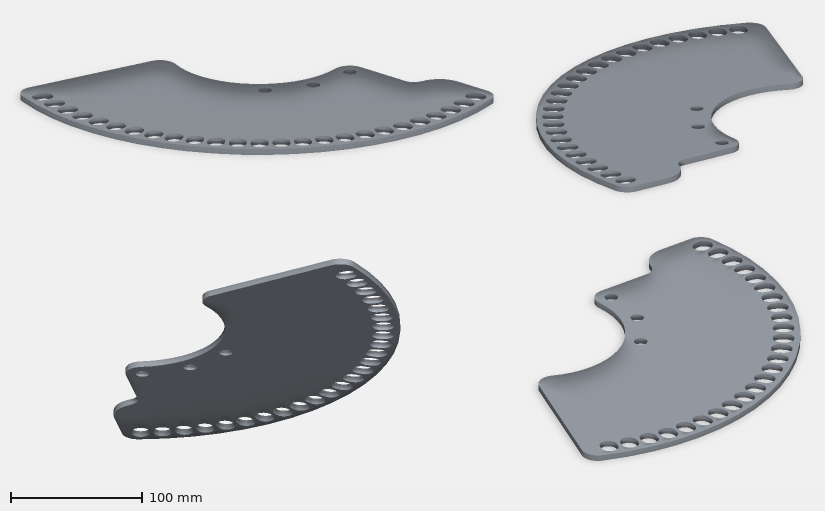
import cadquery as cq
import math

thickness = 4.7
outer_radius = 203.2
inner_radius = 69.7
left_overhang = 21.5
top_height = 109.5

edge_slope = 20.0
step_x = 117.5
corner_radius = 12.8
step_inside_radius = 10.3
step_outside_radius = 22.0

hole_diameter = 10.3
hole_circle_radius = inner_radius + corner_radius
hole_spacing_angle = 26.9

slot_count = 25
slot_pitch_angle = 5.0
first_slot_angle = -90.0
slot_length = 16.5
slot_width = 13.5
slot_circle_radius = outer_radius - corner_radius


def polar(radius, degrees):
    angle = math.radians(degrees)
    return (radius * math.cos(angle), radius * math.sin(angle))


def edge_offset(point):
    """Distance from the centre to the sloped edge tangent to a corner round centred on point."""
    slope = math.radians(edge_slope)
    return point[1] * math.cos(slope) - point[0] * math.sin(slope) + corner_radius


def angle_on_circle(offset, radius):
    """Polar angle where a sloped edge with this offset meets a circle."""
    return edge_slope + math.degrees(math.asin(offset / radius))


def point_at_step(offset):
    """Point where a sloped edge with this offset meets the upright step."""
    slope = math.radians(edge_slope)
    return (step_x, step_x * math.tan(slope) + offset / math.cos(slope))


def point_on_left_edge(radius):
    """Point where a circle about the centre meets the left edge, below the centre."""
    return (-left_overhang, -math.sqrt(radius**2 - left_overhang**2))


def build_plate():
    tip_angle = math.degrees(math.asin((top_height - corner_radius) / slot_circle_radius))
    tip_offset = edge_offset(polar(slot_circle_radius, tip_angle))
    inner_offset = edge_offset(polar(hole_circle_radius, hole_spacing_angle))

    outer_end_angle = angle_on_circle(tip_offset, outer_radius)
    inner_end_angle = angle_on_circle(inner_offset, inner_radius)
    bottom_left = point_on_left_edge(outer_radius)
    inner_left = point_on_left_edge(inner_radius)
    tip = polar(outer_radius, outer_end_angle)
    step_top = point_at_step(tip_offset)
    step_bottom = point_at_step(inner_offset)
    inner_tip = polar(inner_radius, inner_end_angle)

    plate = (
        cq.Workplane("XY")
        .moveTo(*bottom_left)
        .threePointArc((outer_radius, 0), tip)
        .lineTo(*step_top)
        .lineTo(*step_bottom)
        .lineTo(*inner_tip)
        .threePointArc((inner_radius, 0), inner_left)
        .close()
        .extrude(thickness)
    )

    corner_rounds = [
        (bottom_left, corner_radius),
        (inner_left, corner_radius),
        (tip, corner_radius),
        (inner_tip, corner_radius),
        (step_bottom, step_inside_radius),
        (step_top, step_outside_radius),
    ]
    for corner, radius in corner_rounds:
        nearest_edge = cq.selectors.NearestToPointSelector((*corner, thickness / 2))
        plate = plate.edges("|Z").edges(nearest_edge).fillet(radius)
    return plate


def build_mounting_holes():
    centres = [polar(hole_circle_radius, side * hole_spacing_angle) for side in (-1, 0, 1)]
    return cq.Workplane("XY").pushPoints(centres).circle(hole_diameter / 2).extrude(thickness)


def build_slots():
    row_angle = slot_pitch_angle * (slot_count - 1)
    return (
        cq.Workplane("XY")
        .polarArray(slot_circle_radius, first_slot_angle, row_angle, slot_count)
        .slot2D(slot_length, slot_width)
        .extrude(thickness)
    )


result = build_plate().cut(build_mounting_holes()).cut(build_slots())